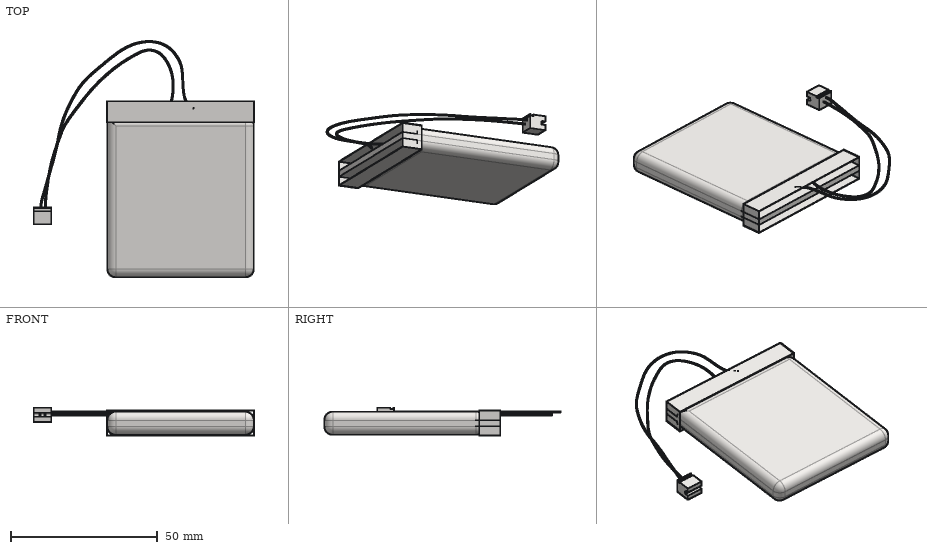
import cadquery as cq
CELL_WIDTH = 49.9
CELL_HEIGHT = 8.0
CELL_CENTRE_Z = -0.1
CELL_LENGTH = 60.0
POUCH_LENGTH = 54.5
POUCH_RADIUS = 2.9
FLANGE_HEIGHT = CELL_HEIGHT - 2 * POUCH_RADIUS

SLEEVE_WALL = 0.2
SLEEVE_WIDTH = CELL_WIDTH + 2 * SLEEVE_WALL
SLEEVE_HEIGHT = 8.6
SLEEVE_LENGTH = 7.25

CONNECTOR_WIDTH = 6.05
CONNECTOR_LENGTH = 5.8
CONNECTOR_HEIGHT = 5.0
CONNECTOR_LEFT = -50.0
CONNECTOR_FRONT = 18.05
OVERALL_HEIGHT = 9.6
CONNECTOR_TOP = OVERALL_HEIGHT - SLEEVE_HEIGHT / 2
CONNECTOR_BOTTOM = CONNECTOR_TOP - CONNECTOR_HEIGHT
CONNECTOR_REAR = CONNECTOR_FRONT + CONNECTOR_LENGTH
LIP_THICKNESS = 0.28
CHANNEL_WIDTH = 1.05
CHANNEL_DEPTH = 0.5
GROOVE_OFFSET = 1.85
GROOVE_BOTTOM = CONNECTOR_BOTTOM + GROOVE_OFFSET
GROOVE_HEIGHT = 1.3
GROOVE_DEPTH_BOTTOM = 1.3
GROOVE_DEPTH_MIDDLE = 1.6
GROOVE_DEPTH_TOP = 1.05
CONTACT_WIDTH = 0.52
CONTACT_SPACING = 1.8

WIRE_DIAMETER = 0.5
UPPER_WIRE_Z = 3.8
LOWER_WIRE_Z = 2.7
WIRE_START_DIRECTION = (0, 1)
UPPER_WIRE_PATH = [
    (-47.5, CONNECTOR_REAR),
    (-46.5, 28.9),
    (-45.0, 34.15),
    (-43.2, 40.4),
    (-41.9, 46.0),
    (-40.75, 51.2),
    (-37.3, 59.85),
    (-33.9, 65.4),
    (-26.3, 72.6),
    (-18.45, 78.3),
    (-10.6, 80.3),
    (-4.8, 78.8),
    (-1.7, 75.8),
    (0.2, 72.2),
    (0.7, 67.65),
    (1.05, 63.0),
    (1.85, 60.1),
    (4.4, 57.6),
]
UPPER_WIRE_END_DIRECTION = (1, -1)
LOWER_WIRE_PATH = [
    (-46.1, CONNECTOR_REAR),
    (-45.7, 28.9),
    (-44.95, 34.15),
    (-43.6, 40.4),
    (-41.8, 46.0),
    (-39.7, 51.2),
    (-36.25, 56.45),
    (-28.9, 65.4),
    (-20.5, 72.65),
    (-15.9, 75.55),
    (-10.6, 77.4),
    (-7.5, 76.5),
    (-4.8, 73.7),
    (-2.6, 66.9),
    (-3.15, 60.1),
    (-4.0, 57.6),
]
LOWER_WIRE_END_DIRECTION = (-1, -3)


def centred_box(width, height, front, rear):
    """Block centred on X and Z that runs from front to rear along Y."""
    return cq.Workplane("XY").box(width, rear - front, height).translate((0, (front + rear) / 2, 0))


def make_cell():
    pouch = centred_box(CELL_WIDTH, CELL_HEIGHT, 0, POUCH_LENGTH)
    sharp_edge = cq.selectors.NearestToPointSelector((-CELL_WIDTH / 2, POUCH_LENGTH, 0))
    rounded_edges = cq.selectors.InverseSelector(sharp_edge)
    pouch = pouch.edges(rounded_edges).fillet(POUCH_RADIUS)
    flange = centred_box(CELL_WIDTH, FLANGE_HEIGHT, POUCH_LENGTH - POUCH_RADIUS, CELL_LENGTH)
    return pouch.union(flange).translate((0, 0, CELL_CENTRE_Z))


def make_sleeve():
    front = CELL_LENGTH - SLEEVE_LENGTH
    outside = centred_box(SLEEVE_WIDTH, SLEEVE_HEIGHT, front, CELL_LENGTH)
    opening = centred_box(CELL_WIDTH, SLEEVE_HEIGHT - 2 * SLEEVE_WALL, front, CELL_LENGTH)
    return outside.cut(opening)


def connector_profile():
    """Side outline of the connector in Y and Z, with the groove's concave back as an arc."""
    groove_top = GROOVE_BOTTOM + GROOVE_HEIGHT
    groove_middle = GROOVE_BOTTOM + GROOVE_HEIGHT / 2
    channel_rear = CONNECTOR_REAR - LIP_THICKNESS
    channel_front = channel_rear - CHANNEL_WIDTH
    channel_floor = CONNECTOR_TOP - CHANNEL_DEPTH
    return (
        cq.Workplane("YZ", origin=(CONNECTOR_LEFT, 0, 0))
        .moveTo(CONNECTOR_FRONT, CONNECTOR_BOTTOM)
        .lineTo(CONNECTOR_FRONT, GROOVE_BOTTOM)
        .lineTo(CONNECTOR_FRONT + GROOVE_DEPTH_BOTTOM, GROOVE_BOTTOM)
        .threePointArc(
            (CONNECTOR_FRONT + GROOVE_DEPTH_MIDDLE, groove_middle),
            (CONNECTOR_FRONT + GROOVE_DEPTH_TOP, groove_top),
        )
        .lineTo(CONNECTOR_FRONT, groove_top)
        .lineTo(CONNECTOR_FRONT, CONNECTOR_TOP)
        .lineTo(channel_front, CONNECTOR_TOP)
        .lineTo(channel_front, channel_floor)
        .lineTo(channel_rear, channel_floor)
        .lineTo(channel_rear, CONNECTOR_TOP)
        .lineTo(CONNECTOR_REAR, CONNECTOR_TOP)
        .lineTo(CONNECTOR_REAR, CONNECTOR_BOTTOM)
        .close()
    )


def make_connector():
    connector = connector_profile().extrude(CONNECTOR_WIDTH)
    rib_front = CONNECTOR_FRONT + GROOVE_DEPTH_BOTTOM
    rib_depth = GROOVE_DEPTH_MIDDLE - GROOVE_DEPTH_BOTTOM
    for side in (-1, 1):
        rib_x = CONNECTOR_LEFT + CONNECTOR_WIDTH / 2 + side * CONTACT_SPACING / 2
        rib = cq.Workplane("XY").box(CONTACT_WIDTH, rib_depth, GROOVE_HEIGHT).translate(
            (rib_x, rib_front + rib_depth / 2, GROOVE_BOTTOM + GROOVE_HEIGHT / 2)
        )
        connector = connector.union(rib)
    return connector


def make_wire(points, height, end_direction):
    """Round wire swept along a smooth curve that stays at one height."""
    path = cq.Workplane("XY", origin=(0, 0, height)).spline(
        points, tangents=[WIRE_START_DIRECTION, end_direction]
    )
    start_x, start_y = points[0]
    section = cq.Workplane("XZ", origin=(start_x, start_y, height)).circle(WIRE_DIAMETER / 2)
    return section.sweep(path)


cell = make_cell()
sleeve = make_sleeve()
connector = make_connector()
upper_wire = make_wire(UPPER_WIRE_PATH, UPPER_WIRE_Z, UPPER_WIRE_END_DIRECTION)
lower_wire = make_wire(LOWER_WIRE_PATH, LOWER_WIRE_Z, LOWER_WIRE_END_DIRECTION)

result = cq.Compound.makeCompound(
    [cell.val(), sleeve.val(), connector.val(), upper_wire.val(), lower_wire.val()]
)